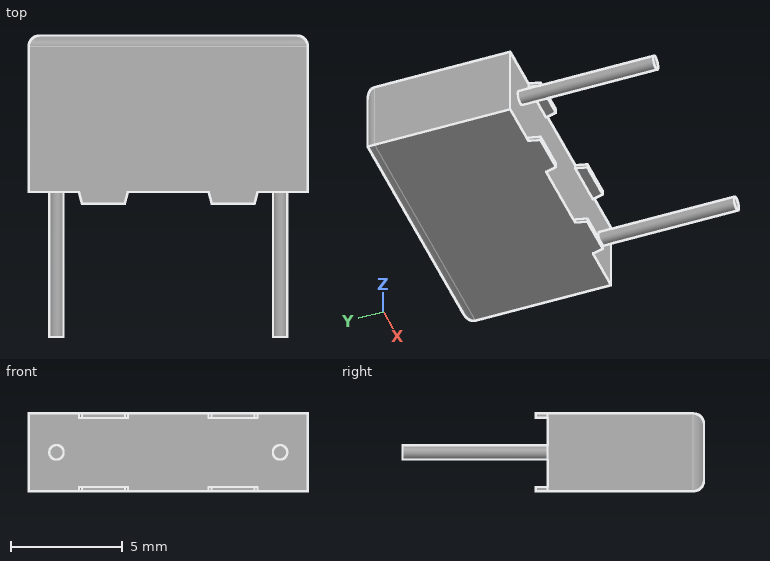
import cadquery as cq
import math


total_length = 13.5
housing_width = 12.5
housing_height = 3.5

lead_length = 6.5
lead_diameter = 0.65
lead_pitch = 10.0

housing_depth = total_length - lead_length
back_edge_radius = 0.5

tab_base_width = 2.2
tab_length = 0.53
tab_thickness = 0.2
tab_spacing = 5.8
tab_side_angle = 15.0
tab_tip_width = tab_base_width - 2 * tab_length * math.tan(math.radians(tab_side_angle))


def make_tab(center_x, bottom_z):
    """Flat trapezoidal standoff that narrows away from the lead face."""
    return (
        cq.Workplane("XY", origin=(center_x, 0, bottom_z))
        .moveTo(-tab_base_width / 2, 0)
        .lineTo(-tab_tip_width / 2, -tab_length)
        .lineTo(tab_tip_width / 2, -tab_length)
        .lineTo(tab_base_width / 2, 0)
        .close()
        .extrude(tab_thickness)
    )


def make_housing():
    """Box with a rounded back rim and four tabs flush with its top and bottom faces."""
    body = (
        cq.Workplane("XY")
        .box(housing_width, housing_depth, housing_height, centered=(True, False, True))
        .faces(">Y")
        .edges()
        .fillet(back_edge_radius)
    )
    bottom_tab_z = -housing_height / 2
    top_tab_z = housing_height / 2 - tab_thickness
    for center_x in (-tab_spacing / 2, tab_spacing / 2):
        for bottom_z in (bottom_tab_z, top_tab_z):
            body = body.union(make_tab(center_x, bottom_z))
    return body


def make_lead(center_x):
    """Round wire that starts on the lead face and runs toward -Y."""
    return (
        cq.Workplane("XZ", origin=(center_x, 0, 0))
        .circle(lead_diameter / 2)
        .extrude(lead_length)
    )


housing = make_housing()
leads = [make_lead(center_x) for center_x in (-lead_pitch / 2, lead_pitch / 2)]

result = cq.Compound.makeCompound([housing.val(), *[lead.val() for lead in leads]])